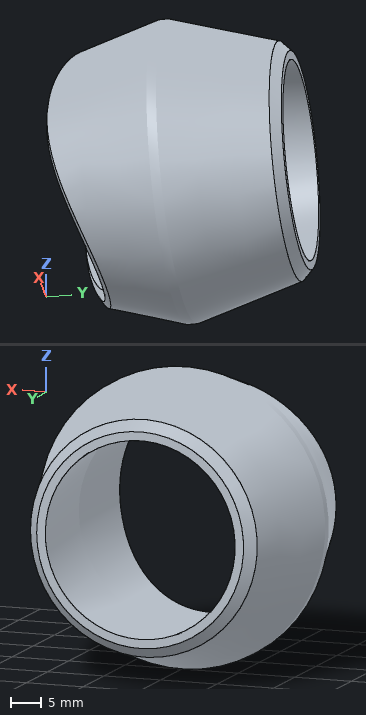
import cadquery as cq
import math

band_radius = 25.4
band_width = 1.65
half_length = 19.75

bevel_width = 1.75
end_radius = 18.3
bevel_radius = 20.05

end_bore_radius = 16.75
bore_radius = 18.3
bore_cone_start_y = -0.3

inner_side = 18.4
inner_crown = 20.95
outer_side = bevel_radius
outer_crown = 22.05
inner_crown_y = -13.65
outer_crown_y = -12.75
outer_tip_y = -19.35
inner_sag = half_length + inner_crown_y
outer_sag = outer_crown_y - outer_tip_y

blank_end_y = -22.35
lip_overrun = 2.5
cutter_end_radius = 30.5
cutter_end_y = -30.5
curve_points = 48


def arc_radius(half_chord, sag):
    return (half_chord**2 + sag**2) / (2 * sag)


saddle_radius = arc_radius(inner_side, inner_sag)
outer_edge_radius = arc_radius(outer_side, outer_sag)


def saddle_point(angle, side, crown, crown_y, radius):
    """Point on an oval lying on a cylinder whose axis is parallel to Z."""
    x = side * math.cos(angle)
    y = crown_y - radius + math.sqrt(radius**2 - x**2)
    return cq.Vector(x, y, crown * math.sin(angle))


def bore_mouth(angle):
    return saddle_point(angle, bore_radius, bore_radius, inner_crown_y, saddle_radius)


def inner_lip(angle):
    return saddle_point(angle, inner_side, inner_crown, inner_crown_y, saddle_radius)


def extended_lip(angle):
    """Point beyond the outer lip edge, in line with the lip face."""
    inner = inner_lip(angle)
    outer = saddle_point(angle, outer_side, outer_crown, outer_crown_y, outer_edge_radius)
    return inner + (outer - inner) * lip_overrun


def ring(radius, y):
    return lambda angle: cq.Vector(radius * math.cos(angle), y, radius * math.sin(angle))


def closed_curve(point_at):
    angles = [2 * math.pi * i / curve_points for i in range(curve_points)]
    return cq.Edge.makeSpline([point_at(a) for a in angles], periodic=True)


def make_outer_body():
    tip_slope = (band_radius - outer_side) / (-band_width - outer_tip_y)
    tip_radius = band_radius - tip_slope * (-band_width - blank_end_y)
    return (
        cq.Workplane("XY")
        .moveTo(0, half_length)
        .lineTo(end_radius, half_length)
        .lineTo(bevel_radius, half_length - bevel_width)
        .lineTo(band_radius, 0)
        .lineTo(band_radius, -band_width)
        .lineTo(tip_radius, blank_end_y)
        .lineTo(0, blank_end_y)
        .close()
        .revolve(360, (0, 0, 0), (0, 1, 0))
    )


def make_bore_and_saddle_cutter():
    """Bore, saddle face, bevel and the space beyond, as a solid bounded by ruled faces."""
    sections = [
        ring(end_bore_radius, half_length),
        ring(bore_radius, bore_cone_start_y),
        bore_mouth,
        inner_lip,
        extended_lip,
        ring(cutter_end_radius, cutter_end_y),
    ]
    edges = [closed_curve(section) for section in sections]
    faces = [cq.Face.makeRuledSurface(a, b) for a, b in zip(edges, edges[1:])]
    for cap_edge in (edges[0], edges[-1]):
        faces.append(cq.Face.makeFromWires(cq.Wire.assembleEdges([cap_edge])))
    return cq.Workplane(cq.Solid.makeSolid(cq.Shell.makeShell(faces)).fix())


result = make_outer_body().cut(make_bore_and_saddle_cutter())